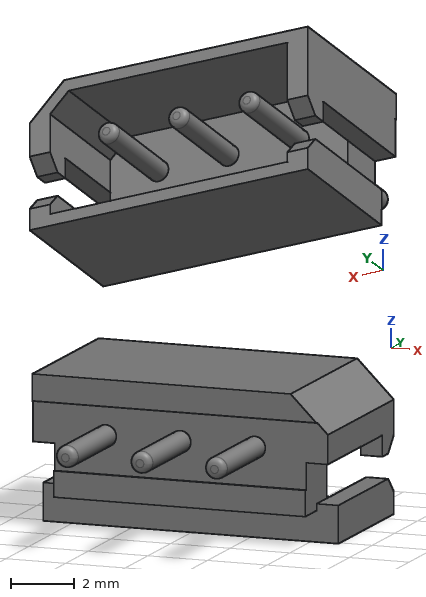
import cadquery as cq
import math

width = 9.9
depth = 5.895
height = 4.9
corner_chamfer = 1.23

side_wall = 0.73
thin_wall = 0.4
web_thickness = 1.9

slot_bottom = 1.23
slot_top = 2.72
hook_bottom = 2.03
hook_length = 1.02
lead_in = 0.5

recess_depth = 0.08
upper_setback = 0.02
recess_bottom = 1.85
recess_top = 4.03
step_depth = 1.0
step_height = 1.01

pin_count = 3
pin_pitch = 2.5
pin_diameter = 0.7
pin_height = 3.09
overall_length = 9.4
tail_length = overall_length - depth
pin_tip_radius = 0.22
pin_setback = lead_in
pin_length = overall_length - pin_setback


def x_centred_box(x_size, y_min, y_max, z_min, z_max):
    """Box centred on X = 0 between the given Y and Z limits."""
    return cq.Workplane("XY").box(
        x_size, y_max - y_min, z_max - z_min, centered=(True, False, False)
    ).translate((0, y_min, z_min))


def cornered_prism(x_size, y_min, y_max, z_min, z_max, chamfer):
    """Box centred on X = 0 with its upper +X corner cut off."""
    block = x_centred_box(x_size, y_min, y_max, z_min, z_max)
    return block.edges(">X and >Z").chamfer(chamfer)


def make_cavity():
    """Mating cavity, whose cut corner keeps the thin wall under the housing's cut corner."""
    ceiling = height - thin_wall
    cavity_chamfer = corner_chamfer - side_wall - thin_wall + thin_wall * math.sqrt(2)
    return cornered_prism(
        width - 2 * side_wall, web_thickness, depth, thin_wall, ceiling, cavity_chamfer
    )


def make_side_slots():
    """Slots in both side walls, cut from the side profile up to the faces of the web."""
    hook_front = depth - hook_length
    profile = [
        (0, slot_bottom),
        (depth - lead_in, slot_bottom),
        (depth, slot_bottom - lead_in),
        (depth, hook_bottom + lead_in),
        (depth - lead_in, hook_bottom),
        (hook_front, hook_bottom),
        (hook_front, slot_top),
        (0, slot_top),
    ]
    left_slot = (
        cq.Workplane("YZ", origin=(-width / 2, 0, 0)).polyline(profile).close().extrude(side_wall)
    )
    return left_slot.union(left_slot.mirror("YZ"))


def make_bottom_step():
    """Clearance along the front lower edge, full height beside the web and lower beneath it."""
    beneath_web = x_centred_box(width, 0, step_depth, 0, step_height)
    beside_web = x_centred_box(width, 0, step_depth, step_height, slot_bottom).cut(
        x_centred_box(width - 2 * side_wall, 0, step_depth, step_height, slot_bottom)
    )
    return beneath_web.union(beside_web)


def make_pin(x):
    """Round pin along Y with a rounded tip at both ends."""
    pin = cq.Workplane("XZ", origin=(x, -tail_length, pin_height)).circle(pin_diameter / 2)
    return pin.extrude(-pin_length).faces("<Y or >Y").edges().fillet(pin_tip_radius)


def make_housing(pins):
    """Open box with slotted side walls and a stepped mounting face, holed for the pins."""
    housing = cornered_prism(width, 0, depth, 0, height, corner_chamfer)
    housing = housing.cut(make_cavity())
    housing = housing.cut(make_side_slots())
    housing = housing.cut(make_bottom_step())
    housing = housing.cut(x_centred_box(width, 0, recess_depth, recess_bottom, recess_top))
    housing = housing.cut(x_centred_box(width, 0, upper_setback, recess_top, height))
    for pin in pins:
        housing = housing.cut(pin)
    return housing


pins = [make_pin((i - (pin_count - 1) / 2) * pin_pitch) for i in range(pin_count)]
housing = make_housing(pins)

result = cq.Compound.makeCompound([housing.val(), *[pin.val() for pin in pins]])